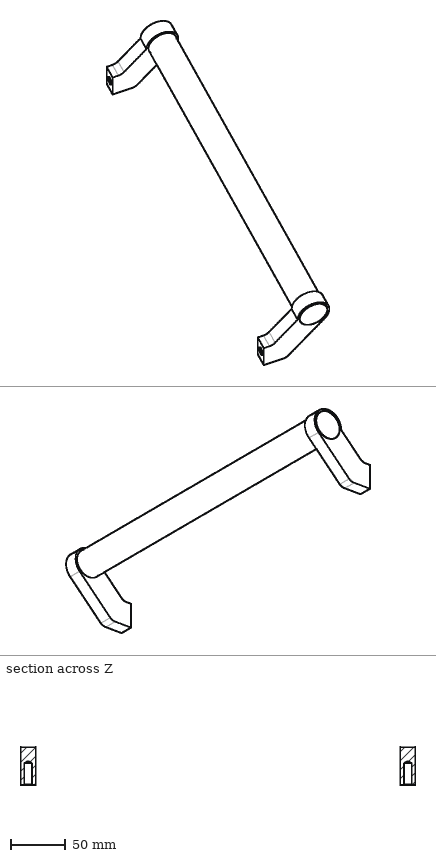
import cadquery as cq
import math

overall_length = 364.0
bracket_width = 14.0
head_radius = 16.0
bar_radius = 14.0
bar_end_chamfer = 0.3
bar_offset = 50.0
foot_height = 25.0
inner_bend_radius = 8.0
outer_bend_radius = 8.0
hole_diameter = 6.8
hole_depth = 20.0
drill_tip_angle = 118.0
hole_mouth_diameter = 8.0

mounting_face_y = -bar_offset
foot_bottom_z = -bar_offset
foot_top_z = foot_bottom_z + foot_height
hole_z = foot_bottom_z + foot_height / 2
bracket_center_x = (overall_length - bracket_width) / 2

upper_start_y = -head_radius
upper_bend_y = upper_start_y + foot_top_z
tangent_offset = head_radius * math.sqrt(0.5)
lower_bend_y = foot_bottom_z + head_radius * math.sqrt(2)


def make_arm():
    """Bracket of constant YZ outline, centred on X = 0."""
    arm = (
        cq.Workplane("YZ")
        .moveTo(upper_start_y, 0)
        .lineTo(upper_bend_y, foot_top_z)
        .lineTo(mounting_face_y, foot_top_z)
        .lineTo(mounting_face_y, foot_bottom_z)
        .lineTo(lower_bend_y, foot_bottom_z)
        .lineTo(tangent_offset, -tangent_offset)
        .threePointArc((0, head_radius), (upper_start_y, 0))
        .close()
        .extrude(bracket_width / 2, both=True)
    )
    inner_bend = cq.NearestToPointSelector((0, upper_bend_y, foot_top_z))
    outer_bend = cq.NearestToPointSelector((0, lower_bend_y, foot_bottom_z))
    arm = arm.edges(inner_bend).fillet(inner_bend_radius)
    return arm.edges(outer_bend).fillet(outer_bend_radius)


def make_mounting_hole():
    """Blind hole with a chamfered mouth and a drill tip, entering the mounting face along +Y."""
    mouth_radius = hole_mouth_diameter / 2
    bore_radius = hole_diameter / 2
    chamfer = mouth_radius - bore_radius
    tip_length = bore_radius / math.tan(math.radians(drill_tip_angle / 2))
    return (
        cq.Workplane("XY")
        .lineTo(mouth_radius, 0)
        .lineTo(bore_radius, chamfer)
        .lineTo(bore_radius, hole_depth)
        .lineTo(0, hole_depth + tip_length)
        .close()
        .revolve(360, (0, 0, 0), (0, 1, 0))
        .translate((0, mounting_face_y, hole_z))
    )


def make_bar():
    """Round bar with chamfered ends, on the X axis."""
    bar = cq.Workplane("YZ").circle(bar_radius).extrude(overall_length / 2, both=True)
    return bar.faces("<X or >X").edges().chamfer(bar_end_chamfer)


def make_bracket():
    """Arm with its mounting hole and a through bore that holds the bar."""
    bore = cq.Workplane("YZ").circle(bar_radius).extrude(bracket_width / 2, both=True)
    return make_arm().cut(make_mounting_hole()).cut(bore)


bracket = make_bracket()
result = make_bar()
for side in (-1, 1):
    result = result.union(bracket.translate((side * bracket_center_x, 0, 0)))